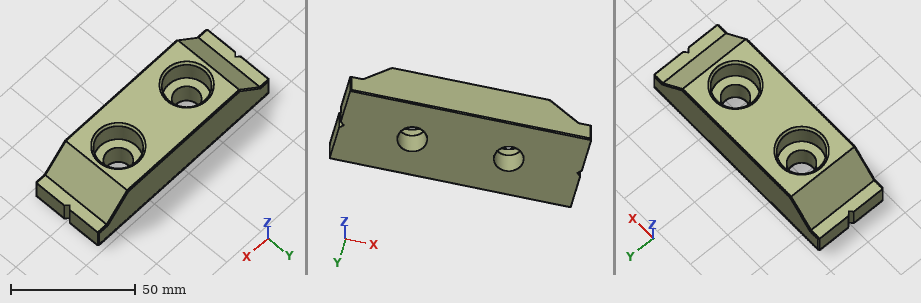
import cadquery as cq

length = 100.0
width = 35.0
height = 22.0

ledge_height = 10.0
ledge_length = 5.2
slope_run = height - ledge_height

edge_chamfer = 0.5

hole_spacing = 40.0
hole_diameter = 12.0
bore_diameter = 20.0
bore_depth = 11.0
bore_chamfer = 1.0

notch_depth = 1.5
notch_width = 2 * notch_depth


def make_body():
    """Trapezoidal profile along X, extruded across the width."""
    half_base = length / 2
    half_foot = half_base - ledge_length
    half_top = half_foot - slope_run
    profile = [
        (-half_base, 0),
        (half_base, 0),
        (half_base, ledge_height),
        (half_foot, ledge_height),
        (half_top, height),
        (-half_top, height),
        (-half_foot, ledge_height),
        (-half_base, ledge_height),
    ]
    body = cq.Workplane("XZ").polyline(profile).close().extrude(width / 2, both=True)
    return body.faces("<Y or >Y").chamfer(edge_chamfer)


def cut_screw_holes(body):
    """Through holes with chamfered counterbores opening on the top face."""
    centers = [(-hole_spacing / 2, 0), (hole_spacing / 2, 0)]
    top = body.faces(">Z").workplane(origin=(0, 0, height))
    body = top.pushPoints(centers).cboreHole(hole_diameter, bore_diameter, bore_depth)
    for x, y in centers:
        rim = cq.Solid.makeCone(
            bore_diameter / 2,
            bore_diameter / 2 + bore_chamfer,
            bore_chamfer,
            pnt=cq.Vector(x, y, height - bore_chamfer),
        )
        body = body.cut(cq.Workplane(rim))
    return body


def cut_end_notches(body):
    """V notches running the full ledge height."""
    for side in (-1, 1):
        end = side * length / 2
        notch = (
            cq.Workplane("XY")
            .moveTo(end, -notch_width / 2)
            .lineTo(end - side * notch_depth, 0)
            .lineTo(end, notch_width / 2)
            .close()
            .extrude(ledge_height)
        )
        body = body.cut(notch)
    return body


result = cut_end_notches(cut_screw_holes(make_body()))